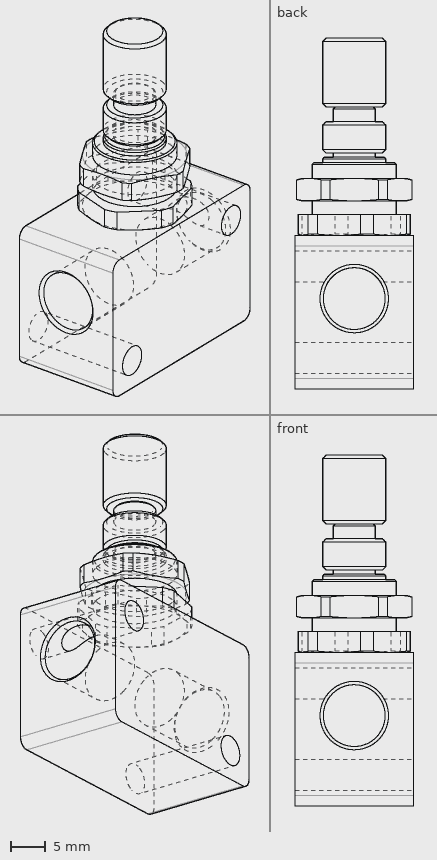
import cadquery as cq
import math

BODY_WIDTH = 17.0
BODY_LENGTH = 32.0
BODY_HEIGHT = 22.05
BODY_CORNER_RADIUS = 1.5
TOTAL_HEIGHT = 50.3

MOUNT_DIAMETER = 4.5
MOUNT_EDGE_DISTANCE = 4.5

PORT_DIAMETER = 8.85
PORT_MOUTH_DIAMETER = 9.8
PORT_DEPTH = 10.05
PORT_HEIGHT = 13.0

SEAT_FLATS = 15.05
SEAT_CORNER_DIAMETER = 16.35
SEAT_THICKNESS = 3.0
SEAT_TURN = 13.0
NUT_FLATS = 15.0
NUT_CORNER_DIAMETER = 16.55
NUT_THICKNESS = 3.2
NUT_BOTTOM = 26.95
NUT_TURN = 30.0
HEXAGON_BEVEL_ANGLE = 15.0

THREAD_RADIUS = 6.05
THREAD_TOP = 32.45
THREAD_CHAMFER = 0.25
NECK_RADIUS = 3.0
NECK_CHAMFER = 0.25
KNOB_RADIUS = 4.55
KNOB_BOTTOM = 40.4
KNOB_CHAMFER = 0.5
LOCK_RING_BOTTOM = 33.8
LOCK_RING_TOP = 38.35
COLLAR_TOP = 33.25
COLLAR_CHAMFER = 0.25


def cylinder(radius, bottom, top):
    """Upright cylinder on the stem axis."""
    return cq.Workplane("XY").workplane(offset=bottom).circle(radius).extrude(top - bottom)


def hexagon(flats, corner_diameter, bottom, thickness, turn, bevel_top):
    """Hexagonal prism turned from corners on the Y axis, with its corners rounded.

    The bottom face, and the top face if asked for, is bevelled towards the corners.
    """
    flat_radius = flats / 2
    corner_radius = corner_diameter / 2
    drop = (corner_radius - flat_radius) * math.tan(math.radians(HEXAGON_BEVEL_ANGLE))
    top = bottom + thickness
    half_profile = [
        (0, bottom),
        (flat_radius, bottom),
        (corner_radius, bottom + drop),
    ]
    if bevel_top:
        half_profile += [(corner_radius, top - drop), (flat_radius, top)]
    else:
        half_profile.append((corner_radius, top))
    half_profile.append((0, top))
    envelope = cq.Workplane("XZ").polyline(half_profile).close().revolve(360, (0, 0, 0), (0, 1, 0))
    prism = (
        cq.Workplane("XY")
        .workplane(offset=bottom)
        .polygon(6, flats, circumscribed=True)
        .extrude(thickness)
        .rotate((0, 0, 0), (0, 0, 1), turn)
    )
    return prism.intersect(envelope)


def body():
    block = (
        cq.Workplane("XY")
        .box(BODY_WIDTH, BODY_LENGTH, BODY_HEIGHT, centered=(True, True, False))
        .edges("|X")
        .fillet(BODY_CORNER_RADIUS)
    )
    mount_y = BODY_LENGTH / 2 - MOUNT_EDGE_DISTANCE
    mount_points = [
        (mount_y, BODY_HEIGHT - MOUNT_EDGE_DISTANCE),
        (-mount_y, MOUNT_EDGE_DISTANCE),
    ]
    mounts = (
        cq.Workplane("YZ")
        .pushPoints(mount_points)
        .circle(MOUNT_DIAMETER / 2)
        .extrude(BODY_WIDTH, both=True)
    )
    return block.cut(mounts).cut(port()).cut(port().mirror("XZ"))


def port():
    """Blind bore from the -Y end with a 45 degree chamfer at its mouth."""
    radius = PORT_DIAMETER / 2
    mouth_radius = PORT_MOUTH_DIAMETER / 2
    mouth_y = -BODY_LENGTH / 2
    chamfer_end = mouth_y + mouth_radius - radius
    floor_y = mouth_y + PORT_DEPTH
    half_profile = [
        (0, mouth_y),
        (mouth_radius, mouth_y),
        (radius, chamfer_end),
        (radius, floor_y),
        (0, floor_y),
    ]
    bore = cq.Workplane("XY").polyline(half_profile).close().revolve(360, (0, 0, 0), (0, 1, 0))
    return bore.translate((0, 0, PORT_HEIGHT))


def stem():
    thread = cylinder(THREAD_RADIUS, BODY_HEIGHT, THREAD_TOP).faces(">Z").chamfer(THREAD_CHAMFER)
    collar = cylinder(KNOB_RADIUS, THREAD_TOP, COLLAR_TOP).faces(">Z").chamfer(COLLAR_CHAMFER)
    neck = cylinder(NECK_RADIUS, THREAD_TOP, KNOB_BOTTOM).faces(">Z").chamfer(NECK_CHAMFER)
    lock_ring = cylinder(KNOB_RADIUS, LOCK_RING_BOTTOM, LOCK_RING_TOP).edges().chamfer(KNOB_CHAMFER)
    knob = cylinder(KNOB_RADIUS, KNOB_BOTTOM, TOTAL_HEIGHT).edges().chamfer(KNOB_CHAMFER)
    return thread.union(collar).union(neck).union(lock_ring).union(knob)


seat = hexagon(
    SEAT_FLATS, SEAT_CORNER_DIAMETER, BODY_HEIGHT, SEAT_THICKNESS, SEAT_TURN, bevel_top=False
)
nut = hexagon(NUT_FLATS, NUT_CORNER_DIAMETER, NUT_BOTTOM, NUT_THICKNESS, NUT_TURN, bevel_top=True)
result = body().union(seat).union(stem()).union(nut)